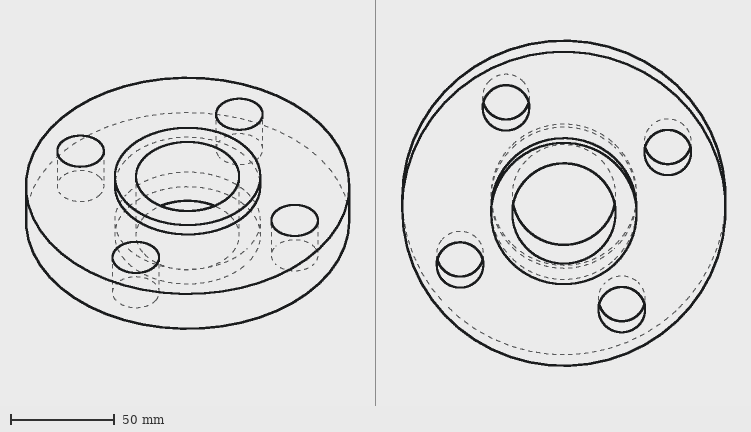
import cadquery as cq

flange_diameter = 155.5
flange_thickness = 22.5
hub_diameter = 70.0
bore_diameter = 49.6
overall_height = 38.1
upper_hub_height = 6.0
bolt_hole_count = 4
bolt_hole_diameter = 22.4
bolt_circle_diameter = 114.3
first_bolt_angle = 45.0

lower_hub_height = overall_height - flange_thickness - upper_hub_height

hub = cq.Workplane("XY").circle(hub_diameter / 2).extrude(overall_height)

flange = (
    cq.Workplane("XY")
    .workplane(offset=lower_hub_height)
    .circle(flange_diameter / 2)
    .extrude(flange_thickness)
)

bore = cq.Workplane("XY").circle(bore_diameter / 2).extrude(overall_height)

bolt_holes = (
    cq.Workplane("XY")
    .polarArray(bolt_circle_diameter / 2, first_bolt_angle, 360, bolt_hole_count)
    .circle(bolt_hole_diameter / 2)
    .extrude(overall_height)
)

result = flange.union(hub).cut(bore).cut(bolt_holes)